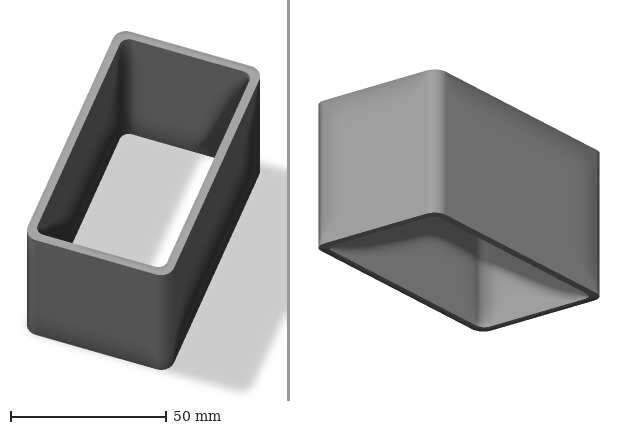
import cadquery as cq

width = 50.0
length = 90.0
height = 50.0
wall = 2.9
outer_radius = 4.4
inner_radius = 3.1


def rounded_block(size_x, size_y, corner_radius):
    """Block of full height with its four upright edges rounded."""
    block = cq.Workplane("XY").box(size_x, size_y, height)
    return block.edges("|Z").fillet(corner_radius)


outer_body = rounded_block(width, length, outer_radius)
bore = rounded_block(width - 2 * wall, length - 2 * wall, inner_radius)

result = outer_body.cut(bore)